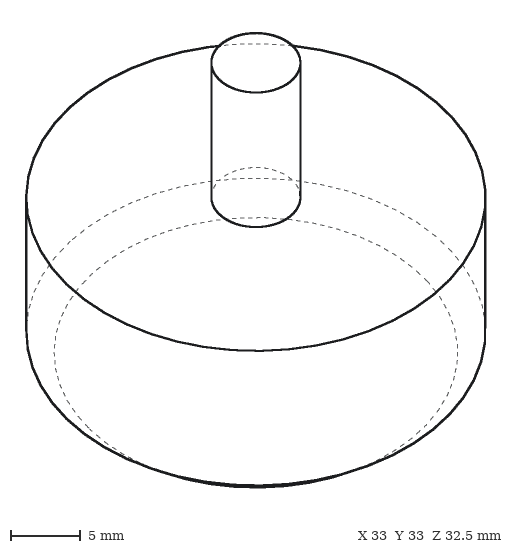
import cadquery as cq

body_diameter = 33.0
shank_diameter = 6.4
overall_height = 32.5
shank_length = 13.0
body_height = 13.0
chamfer_size = 2.0

body_radius = body_diameter / 2
shank_radius = shank_diameter / 2
cone_radius = body_radius - chamfer_size
body_top_z = overall_height - shank_length
wall_bottom_z = body_top_z - body_height
cone_top_z = wall_bottom_z - chamfer_size


def turned_profile():
    """Half section in the XZ plane, from the cone tip up to the shank top."""
    return (
        cq.Workplane("XZ")
        .moveTo(0, 0)
        .lineTo(cone_radius, cone_top_z)
        .lineTo(body_radius, wall_bottom_z)
        .lineTo(body_radius, body_top_z)
        .lineTo(shank_radius, body_top_z)
        .lineTo(shank_radius, overall_height)
        .lineTo(0, overall_height)
        .close()
    )


result = turned_profile().revolve(360, (0, 0, 0), (0, 1, 0))